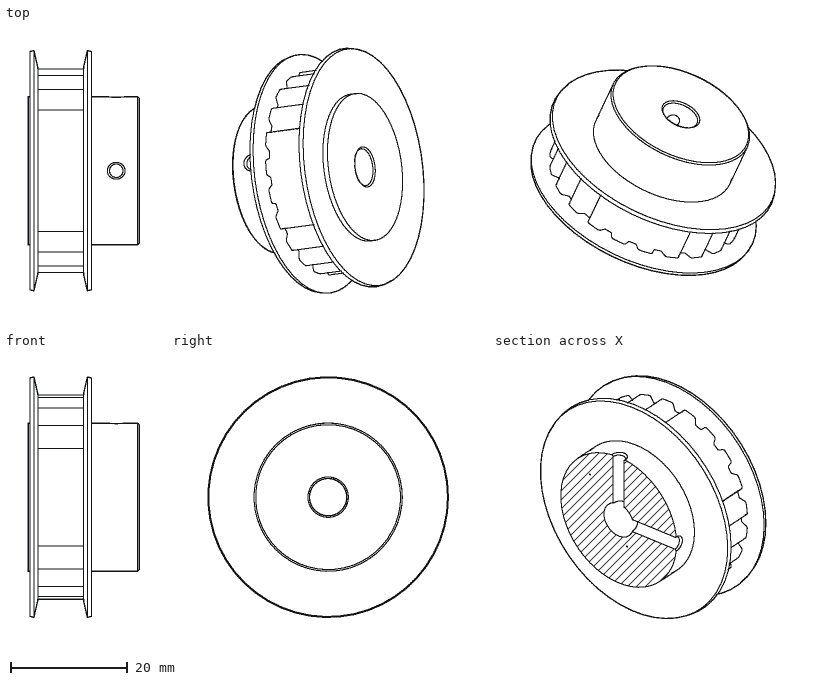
import cadquery as cq
import math


total_length = 19.05
belt_face_start = 1.65
belt_width = 7.85
belt_face_end = belt_face_start + belt_width

tooth_count = 22
tip_radius = 17.55
groove_depth = 1.35
groove_floor_width = 1.3
groove_side_angle = 25.0
groove_floor_fillet = 0.3
tooth_tip_fillet = 0.5

flange_radius = 20.65
flange_thickness = 0.75
flange_bend_radius = 17.75
flange_bend_angle = 13.0

hub_radius = 12.7
hub_chamfer = 0.3
bore_radius = 3.18
bore_chamfer = 0.3
screw_radius = 1.15
screw_mouth_radius = 1.53
screw_x = 15.1


def disc(radius, start, end):
    """Cylinder about the X axis between two axial positions."""
    return cq.Workplane("YZ").workplane(offset=start).circle(radius).extrude(end - start)


def groove_cutter():
    """Trapezoidal groove with a flat rounded floor, centred on +Y."""
    floor_radius = tip_radius - groove_depth
    open_radius = tip_radius + groove_depth
    half_floor = groove_floor_width / 2
    half_mouth = half_floor + (open_radius - floor_radius) * math.tan(math.radians(groove_side_angle))
    return (
        cq.Workplane("YZ")
        .workplane(offset=belt_face_start)
        .polyline([
            (floor_radius, -half_floor),
            (open_radius, -half_mouth),
            (open_radius, half_mouth),
            (floor_radius, half_floor),
        ])
        .close()
        .extrude(belt_width)
        .edges("|X and <Y")
        .fillet(groove_floor_fillet)
    )


def toothed_ring():
    """Belt face with a tooth centred on +Z and rounded tooth tips."""
    ring = disc(tip_radius, belt_face_start, belt_face_end)
    pitch_angle = 360 / tooth_count
    cutter = groove_cutter()
    for index in range(tooth_count):
        angle = 90 + (index + 0.5) * pitch_angle
        ring = ring.cut(cutter.rotate((0, 0, 0), (1, 0, 0), angle))
    below_tips = tip_radius - tooth_tip_fillet / 2
    tip_edges = [
        edge for edge in ring.edges("|X").vals()
        if math.hypot(edge.Center().y, edge.Center().z) > below_tips
    ]
    return ring.newObject(tip_edges).fillet(tooth_tip_fillet)


def flange(inner_face, outward):
    """Dished flange; outward is -1 or +1, the X direction in which its rim leans."""
    bend = math.radians(flange_bend_angle)
    convex_bend_radius = flange_bend_radius + flange_thickness * math.tan(bend / 2)
    rim_lean = (flange_radius - convex_bend_radius) * math.tan(bend)
    outer_face = inner_face + outward * flange_thickness
    inner_rim = inner_face + outward * rim_lean
    outer_rim = inner_rim + outward * flange_thickness * math.cos(bend)
    outer_rim_radius = flange_radius - flange_thickness * math.sin(bend)
    return (
        cq.Workplane("XY")
        .polyline([
            (inner_face, 0),
            (inner_face, convex_bend_radius),
            (inner_rim, flange_radius),
            (outer_rim, outer_rim_radius),
            (outer_face, flange_bend_radius),
            (outer_face, 0),
        ])
        .close()
        .revolve(360, (0, 0, 0), (1, 0, 0))
    )


def bore_cutter():
    """Through bore with a chamfered mouth at each end."""
    mouth_radius = bore_radius + bore_chamfer
    return (
        cq.Workplane("XY")
        .polyline([
            (0, 0),
            (0, mouth_radius),
            (bore_chamfer, bore_radius),
            (total_length - bore_chamfer, bore_radius),
            (total_length, mouth_radius),
            (total_length, 0),
        ])
        .close()
        .revolve(360, (0, 0, 0), (1, 0, 0))
    )


def screw_cutter():
    """Set screw hole from the bore out through the hub on +Z, countersunk at 45 degrees."""
    sink_depth = screw_mouth_radius - screw_radius
    return (
        cq.Workplane("XZ")
        .polyline([
            (0, 0),
            (screw_radius, 0),
            (screw_radius, hub_radius - sink_depth),
            (screw_mouth_radius, hub_radius),
            (0, hub_radius),
        ])
        .close()
        .revolve(360, (0, 0, 0), (0, 1, 0))
        .translate((screw_x, 0, 0))
    )


hub = disc(hub_radius, 0, total_length).faces(">X").chamfer(hub_chamfer)

pulley = (
    toothed_ring()
    .union(hub)
    .union(flange(belt_face_start, -1))
    .union(flange(belt_face_end, 1))
    .cut(bore_cutter())
)

for screw_angle in (0, -90):
    pulley = pulley.cut(screw_cutter().rotate((0, 0, 0), (1, 0, 0), screw_angle))

result = pulley